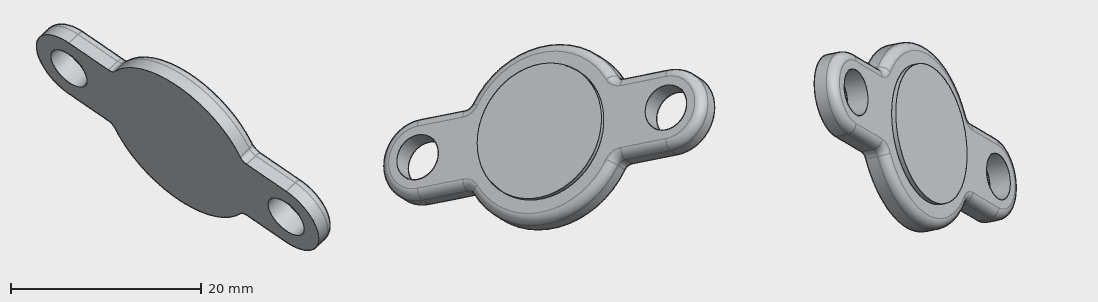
import cadquery as cq

length = 39.0
total_thickness = 3.0
disc_diameter = 20.0

hole_spacing = 30.0
hole_diameter = 5.0
ear_width = length - hole_spacing

pad_diameter = 15.0
pad_height = 0.5
plate_thickness = total_thickness - pad_height

corner_radius = 1.0
edge_radius = 1.0


def extrude_to_plus_y(sketch, depth):
    """Extrude a sketch on the XZ plane, whose normal is -Y, toward +Y."""
    return sketch.extrude(-depth)


def make_plate():
    """Central disc blended into a slot-shaped bar, with a rounded +Y rim."""
    disc = extrude_to_plus_y(cq.Workplane("XZ").circle(disc_diameter / 2), plate_thickness)
    bar = extrude_to_plus_y(cq.Workplane("XZ").slot2D(length, ear_width), plate_thickness)

    corner_x = ((disc_diameter / 2) ** 2 - (ear_width / 2) ** 2) ** 0.5
    plate = disc.union(bar)
    for x in (-corner_x, corner_x):
        for z in (-ear_width / 2, ear_width / 2):
            corner = cq.selectors.NearestToPointSelector((x, plate_thickness / 2, z))
            plate = plate.edges("|Y").edges(corner).fillet(corner_radius)

    return plate.faces(">Y").edges().fillet(edge_radius)


def make_pad():
    """Round pad standing on the +Y face of the plate."""
    base = cq.Workplane("XZ", origin=(0, plate_thickness, 0))
    return extrude_to_plus_y(base.circle(pad_diameter / 2), pad_height)


def make_holes():
    """Cutters for the through holes in the two ears."""
    centers = [(-hole_spacing / 2, 0), (hole_spacing / 2, 0)]
    sketch = cq.Workplane("XZ").pushPoints(centers).circle(hole_diameter / 2)
    return extrude_to_plus_y(sketch, plate_thickness)


result = make_plate().union(make_pad()).cut(make_holes())